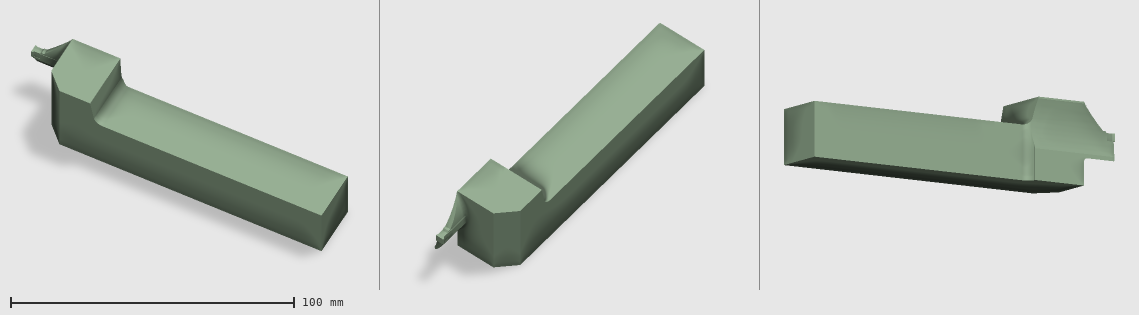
import cadquery as cq
import math

length = 125.0
head_depth = 23.0
head_height = 30.0
shank_depth = 20.0
shank_height = 20.0

head_x = 14.0
front_chamfer = 6.8
head_top_end_x = 33.0
step_x = 34.5
curve_length = 3.4
curve_height = 2.2

hollow_bottom_z = 11.4
hollow_top_z = 29.4
hollow_sag = 1.9
blade_bottom_z = 9.9
blade_top_z = 29.0
blade_sag = 4.2
strip_sag = 4.4
strip_bottom_z = 16.4
strip_top_z = 20.1
root_fillet = 1.1

blade_tip_x = 0.5
blade_heel_x = 1.4
ledge_start_x = 3.9
ledge_end_x = 4.9
ledge_z = 20.8
slope_end_x = 12.9
slope_end_z = 28.5

insert_length = 3.2
insert_bottom_z = 17.2
insert_top_z = 20.1
edge_length = 1.1
edge_back_sag = 1.5
edge_front_sag = 4.8
neck_back_sag = 1.9
neck_front_sag = 4.2


def arc_radius(bottom_z, top_z, sag):
    """Radius of an arc from its chord along Z and its sag."""
    half_chord = (top_z - bottom_z) / 2
    return (half_chord**2 + sag**2) / (2 * sag)


def x_cylinder(bottom_z, top_z, sag, start_x, end_x):
    """Cylinder along X whose surface meets the back plane at the two heights."""
    radius = arc_radius(bottom_z, top_z, sag)
    center_y = head_depth - sag + radius
    plane = cq.Plane((start_x, center_y, (bottom_z + top_z) / 2), (0, 1, 0), (1, 0, 0))
    return cq.Workplane(plane).circle(radius).extrude(end_x - start_x)


def block(x0, x1, y0, y1, z0, z1):
    return cq.Workplane("XY").box(x1 - x0, y1 - y0, z1 - z0, centered=False).translate((x0, y0, z0))


def add_step_curve(outline, shank_level):
    """From the step's lower edge, curve down to meet the shank tangentially."""
    radius = (curve_length**2 + curve_height**2) / (2 * curve_height)
    half_angle = math.atan(curve_height / curve_length)
    end_x = step_x + curve_length
    middle = (end_x - radius * math.sin(half_angle), shank_level + radius * (1 - math.cos(half_angle)))
    return outline.lineTo(step_x, shank_level + curve_height).threePointArc(middle, (end_x, shank_level))


def make_holder_block():
    """Shank and raised head, with the front corner chamfer and the curved steps."""
    side = cq.Workplane("XZ").moveTo(head_x, 0).lineTo(head_x, head_height).lineTo(head_top_end_x, head_height)
    side = add_step_curve(side, shank_height).lineTo(length, shank_height).lineTo(length, 0)
    side = side.close().extrude(-head_depth)
    plan = (
        cq.Workplane("XY")
        .moveTo(head_x + front_chamfer, 0)
        .lineTo(head_x, front_chamfer)
        .lineTo(head_x, head_depth)
        .lineTo(step_x, head_depth)
    )
    plan = add_step_curve(plan, shank_depth).lineTo(length, shank_depth).lineTo(length, 0)
    return side.intersect(plan.close().extrude(head_height))


def make_blade():
    """Curved blade cut to its side outline, with a raised flat strip along its front."""
    cylinder = x_cylinder(blade_bottom_z, blade_top_z, blade_sag, 0, head_x)
    strip = block(0, head_x, head_depth - strip_sag, head_depth, strip_bottom_z, strip_top_z)
    back_limit = block(0, head_x, 0, head_depth, 0, head_height)
    outline = (
        cq.Workplane("XZ")
        .polyline([
            (blade_heel_x, blade_bottom_z), (head_x, blade_bottom_z), (head_x, head_height),
            (slope_end_x, slope_end_z), (ledge_end_x, ledge_z), (ledge_start_x, ledge_z),
            (insert_length, insert_top_z), (insert_length, insert_bottom_z), (blade_tip_x, insert_bottom_z),
        ])
        .close()
        .extrude(-head_depth)
    )
    return cylinder.intersect(back_limit).union(strip).intersect(outline)


def make_root_fillet():
    """Concave flare where the blade's outer arc runs into the head."""
    radius = arc_radius(blade_bottom_z, blade_top_z, blade_sag)
    axis_y = head_depth - blade_sag + radius
    axis_z = (blade_bottom_z + blade_top_z) / 2
    start_x = head_x - root_fillet
    arc_offset = root_fillet * (1 - math.sqrt(0.5))
    inner_y = axis_y - radius
    flare = (
        cq.Workplane(cq.Plane((0, 0, axis_z)))
        .moveTo(start_x, axis_y)
        .lineTo(start_x, inner_y)
        .threePointArc((head_x - arc_offset, inner_y - arc_offset), (head_x, inner_y - root_fillet))
        .lineTo(head_x, axis_y)
        .close()
        .revolve(360, (0, axis_y, 0), (1, axis_y, 0))
    )
    return flare.intersect(block(start_x, head_x, 0, head_depth, 0, head_height))


def make_insert():
    """Insert with a wide cutting edge and a narrower neck behind it."""
    return (
        cq.Workplane(cq.Plane((0, head_depth, insert_bottom_z)))
        .polyline([
            (0, -edge_back_sag), (0, -edge_front_sag), (edge_length / 2, -edge_front_sag),
            (edge_length, -neck_front_sag), (insert_length, -neck_front_sag),
            (insert_length, -neck_back_sag), (edge_length, -neck_back_sag),
        ])
        .close()
        .extrude(insert_top_z - insert_bottom_z)
    )


insert = make_insert()
hollow = x_cylinder(hollow_bottom_z, hollow_top_z, hollow_sag, 0, step_x + curve_length)
holder = make_holder_block().union(make_blade()).union(make_root_fillet()).cut(hollow)

result = cq.Compound.makeCompound([holder.val(), insert.val()])